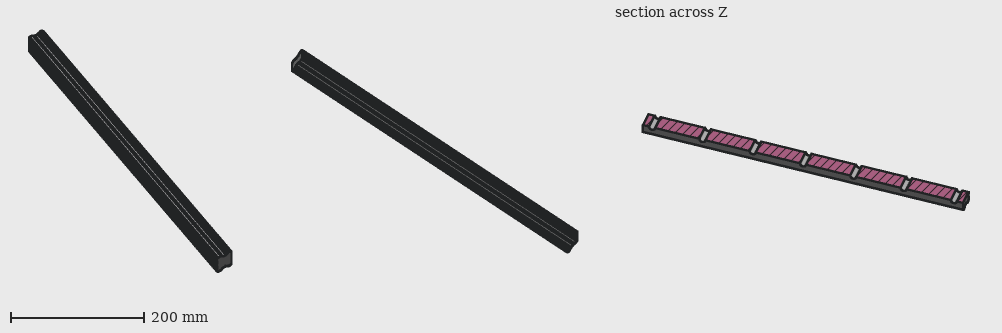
import cadquery as cq

length = 510.0
depth = 26.0
height = 34.0
half_height = height / 2
base_y = -depth / 2
head_y = depth / 2

head_bevel_depth = 3.0
head_bevel_height = 3.0
head_land = 3.0
groove_drop = 3.5
lip_drop = 1.0
head_slope = 3.0
groove_corner = 1.0
groove_floor = 5.0
base_slope = 3.0
base_lip_run = 1.0
base_chamfer = 1.5

channel_depth = 0.5
channel_inner = 3.5
channel_outer = 9.5
channel_run_out = 1.0

hole_diameter = 9.0
hole_count = 7
hole_pitch = 80.0


def side_points():
    """(y, z) corners of the upper side, from the head face to the base face."""
    land_start = head_y - head_bevel_depth
    land_end = land_start - head_land
    slope_end = land_end - head_slope
    floor_start = slope_end - groove_corner
    floor_end = floor_start - groove_floor
    shoulder = floor_end - base_slope
    floor_z = half_height - groove_drop
    slope_end_z = floor_z + groove_corner
    lip_z = half_height - lip_drop
    return [
        (head_y, half_height - head_bevel_height),
        (land_start, half_height),
        (land_end, half_height),
        (land_end, lip_z),
        (slope_end, slope_end_z),
        (floor_start, floor_z),
        (floor_end, floor_z),
        (shoulder, lip_z),
        (shoulder - base_lip_run, half_height),
        (base_y + base_chamfer, half_height),
        (base_y, half_height - base_chamfer),
    ]


def mirrored(points):
    """The same corners reflected below the mid-plane, in closing order."""
    return [(y, -z) for y, z in reversed(points)]


upper_side = side_points()
rail = (
    cq.Workplane("YZ")
    .polyline(upper_side + mirrored(upper_side))
    .close()
    .extrude(length / 2, both=True)
)


def base_channel(side):
    """Shallow channel along the base, above (+1) or below (-1) the holes."""
    return (
        cq.Workplane("YZ")
        .polyline([
            (base_y, side * channel_inner),
            (base_y + channel_depth, side * channel_inner),
            (base_y + channel_depth, side * (channel_outer - channel_run_out)),
            (base_y, side * channel_outer),
        ])
        .close()
        .extrude(length / 2, both=True)
    )


for side in (1, -1):
    rail = rail.cut(base_channel(side))

holes = (
    cq.Workplane("XZ", origin=(0, head_y, 0))
    .rarray(hole_pitch, 5, hole_count, 1)
    .circle(hole_diameter / 2)
    .extrude(depth)
)

result = rail.cut(holes)